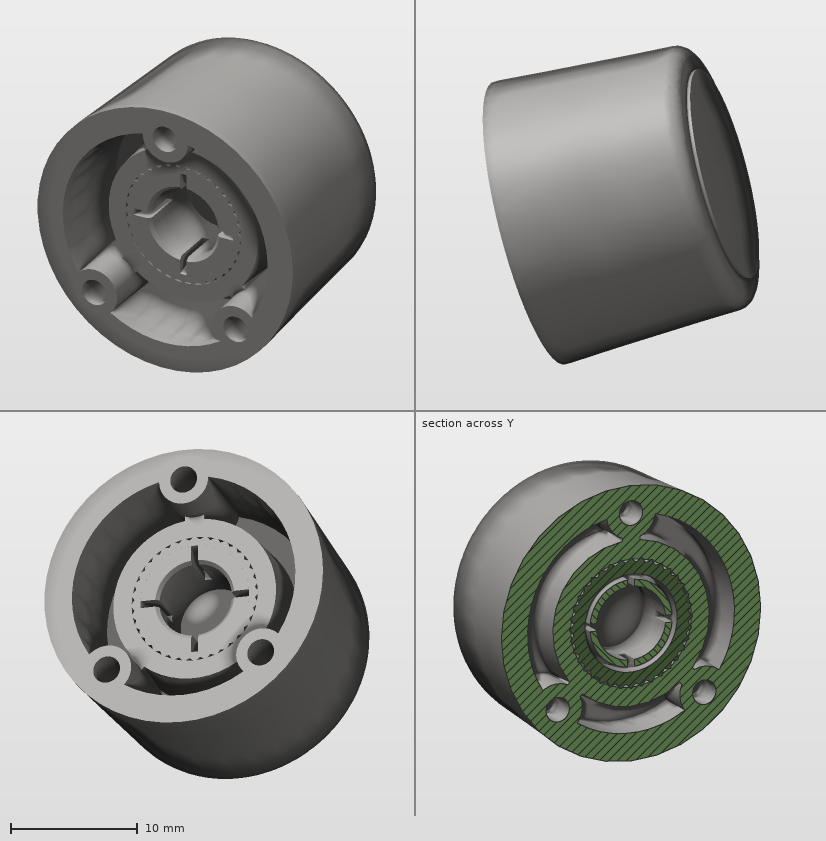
import cadquery as cq
import math

ORIGIN = (0, 0, 0)
ALONG_AXIS = (0, 1, 0)

rim_radius = 11.5
rim_height = 0.48
wall_draft = math.radians(3)
back_fillet = 1.22

overall_length = 16.7
cap_radius = 8.5
cap_dome_height = 0.44
cap_step = 0.28
cap_recess_depth = 0.5
dome_radius = (cap_radius**2 + cap_dome_height**2) / (2 * cap_dome_height)
dome_center = overall_length - dome_radius
back_dome_radius = dome_radius - cap_step
cap_edge = overall_length - cap_dome_height
cap_base = cap_edge - cap_step - cap_recess_depth

cavity_radius = 9.22
cavity_step_radius = 8.97
cavity_floor_radius = 8.75
cavity_step_depth = 4.55
cavity_depth = 7.82

hub_depth = 2.95
hub_radius = 6.72
hub_base_radius = 6.97

post_angles = (90, 225, 315)
post_circle_radius = 9.0
post_radius = 2.02
post_base_radius = 2.23
post_rib_width = 1.56
screw_hole_radius = 1.1
screw_hole_end_radius = 0.95
screw_hole_tip_radius = 0.71
screw_hole_depth = 6.9
screw_hole_tip_depth = 0.23

insert_length = 5.98
insert_back = hub_depth + insert_length
knurl_count = 36
knurl_tip_radius = 5.31
knurl_root_radius = 5.0
insert_hole_radius = 5.2
seat_radius = 4.48
insert_bore_radius = 3.98
seat_length = 1.85
seat_end = hub_depth + seat_length

collet_bore_radius = 3.0
collet_chamfer = 0.28
collet_neck_radius = 3.59
slot_width = 0.58
slot_length = 3.68
slot_end = hub_depth + slot_length
shoulder_height = insert_bore_radius - collet_neck_radius


def cone(start, end, start_radius, end_radius, x=0, z=0):
    """Solid cone or cylinder along Y between two depths."""
    if start_radius == end_radius:
        return cq.Workplane(cq.Solid.makeCylinder(start_radius, end - start, (x, start, z), ALONG_AXIS))
    return cq.Workplane(cq.Solid.makeCone(start_radius, end_radius, end - start, (x, start, z), ALONG_AXIS))


def dome_depth(radius, at_radius):
    """Depth of a dome of the given sphere radius, at a distance from the axis."""
    return dome_center + math.sqrt(radius**2 - at_radius**2)


def revolve_about_axis(profile):
    return profile.close().revolve(360, ORIGIN, ALONG_AXIS)


def post_center(angle):
    turn = math.radians(angle)
    return post_circle_radius * math.cos(turn), post_circle_radius * math.sin(turn)


def knurl_prism():
    """Straight-toothed prism with the outline of the insert."""
    half_pitch = math.pi / knurl_count
    outline = []
    for i in range(2 * knurl_count):
        radius = knurl_root_radius if i % 2 else knurl_tip_radius
        outline.append((radius * math.cos(i * half_pitch), radius * math.sin(i * half_pitch)))
    return cq.Workplane("XZ", origin=(0, hub_depth, 0)).polyline(outline).close().extrude(-insert_length)


def make_shell():
    """Drafted outside of the knob with a rounded, domed back."""
    slope = math.tan(wall_draft)
    reach = rim_radius - slope * (dome_center - rim_height)
    rise = (reach * slope + math.sqrt(back_dome_radius**2 * (1 + slope**2) - reach**2)) / (1 + slope**2)
    corner_depth = dome_center + rise
    corner_radius = reach - slope * rise
    middle_radius = corner_radius / 2
    profile = (
        cq.Workplane("XY")
        .lineTo(rim_radius, 0)
        .lineTo(rim_radius, rim_height)
        .lineTo(corner_radius, corner_depth)
        .threePointArc(
            (middle_radius, dome_depth(back_dome_radius, middle_radius)),
            (0, dome_center + back_dome_radius),
        )
    )
    corner = cq.NearestToPointSelector((0, corner_depth, 0))
    return revolve_about_axis(profile).edges(corner).fillet(back_fillet)


def make_cavity():
    """Annular cavity around the hub, the posts and the ribs."""
    cavity = cone(0, cavity_step_depth, cavity_radius, cavity_step_radius)
    cavity = cavity.union(cone(cavity_step_depth, cavity_depth, cavity_step_radius, cavity_floor_radius))
    cavity = cavity.cut(cone(hub_depth, cavity_depth, hub_radius, hub_base_radius))
    rib = cq.Workplane("XY").box(
        post_circle_radius, cavity_depth - hub_depth, post_rib_width, centered=(False, False, True)
    )
    for angle in post_angles:
        cavity = cavity.cut(rib.translate((0, hub_depth, 0)).rotate(ORIGIN, ALONG_AXIS, -angle))
        cavity = cavity.cut(cone(0, cavity_depth, post_radius, post_base_radius, *post_center(angle)))
    return cavity


def make_screw_hole(angle):
    """Tapered blind hole with a conical end."""
    center = post_center(angle)
    tip_depth = screw_hole_depth + screw_hole_tip_depth
    hole = cone(0, screw_hole_depth, screw_hole_radius, screw_hole_end_radius, *center)
    return hole.union(cone(screw_hole_depth, tip_depth, screw_hole_end_radius, screw_hole_tip_radius, *center))


def make_knob():
    knob = make_shell().cut(make_cavity())
    for angle in post_angles:
        knob = knob.cut(make_screw_hole(angle))
    knob = knob.cut(cone(hub_depth, insert_back, insert_hole_radius, insert_hole_radius))
    knob = knob.cut(knurl_prism())
    return knob.cut(cone(cap_base, overall_length, cap_radius, cap_radius))


def make_cap():
    """Domed disc set into the back of the knob."""
    middle_radius = cap_radius / 2
    profile = (
        cq.Workplane("XY", origin=(0, cap_base, 0))
        .lineTo(cap_radius, 0)
        .lineTo(cap_radius, cap_edge - cap_base)
        .threePointArc(
            (middle_radius, dome_depth(dome_radius, middle_radius) - cap_base),
            (0, overall_length - cap_base),
        )
        .close()
    )
    return profile.revolve(360, ORIGIN, ALONG_AXIS)


def make_insert():
    """Knurled sleeve with a conical seat for the collet."""
    insert = knurl_prism()
    insert = insert.cut(cone(hub_depth, seat_end, seat_radius, insert_bore_radius))
    return insert.cut(cone(seat_end, insert_back, insert_bore_radius, insert_bore_radius))


def make_collet():
    """Conical head, narrow neck and shoulder, cut by two crossed slots."""
    profile = (
        cq.Workplane("XY")
        .moveTo(collet_bore_radius + collet_chamfer, hub_depth)
        .lineTo(seat_radius, hub_depth)
        .lineTo(insert_bore_radius, seat_end)
        .lineTo(collet_neck_radius, seat_end)
        .lineTo(collet_neck_radius, slot_end)
        .lineTo(insert_bore_radius, slot_end + shoulder_height)
        .lineTo(insert_bore_radius, insert_back)
        .lineTo(collet_bore_radius, insert_back)
        .lineTo(collet_bore_radius, hub_depth + collet_chamfer)
    )
    collet = revolve_about_axis(profile)
    slot = (
        cq.Workplane("XZ", origin=(0, hub_depth, 0))
        .rect(2 * seat_radius, slot_width)
        .extrude(-slot_length)
    )
    for angle in (0, 90):
        collet = collet.cut(slot.rotate(ORIGIN, ALONG_AXIS, angle))
    return collet


knob = make_knob()
cap = make_cap()
insert = make_insert()
collet = make_collet()

result = cq.Compound.makeCompound([knob.val(), cap.val(), insert.val(), collet.val()])